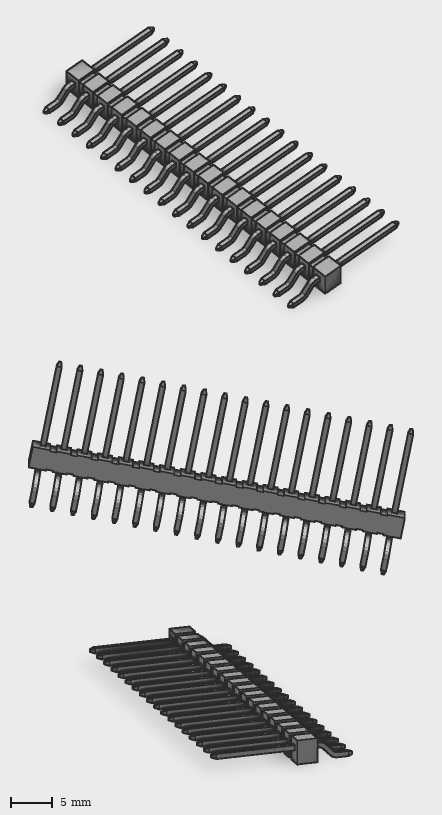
import cadquery as cq
import math

POSITIONS = 18
ROW_LENGTH = 45.7
PITCH = ROW_LENGTH / POSITIONS
HOUSING_DEPTH = 2.6
HOUSING_HEIGHT = 3.05
WEB_WIDTH = 0.8
WEB_SIDE_STEP = 0.15
WEB_TOP_STEP = 0.3

PIN_SIZE = 0.65
PIN_HEIGHT = 1.85
FOOT_HEIGHT = PIN_SIZE / 2
PIN_LENGTH = 18.0
FOOT_REACH = 4.85
SHOULDER = 0.6
BEND_RADIUS = 0.9
BEND_ANGLE = math.radians(45)
TIP_LENGTH = 0.55
TIP_SIZE = 0.27

FRONT_FACE = -HOUSING_DEPTH / 2
FOOT_TIP = FRONT_FACE - FOOT_REACH
BACK_TIP = FOOT_TIP + PIN_LENGTH
PIN_X = [(i - (POSITIONS - 1) / 2) * PITCH for i in range(POSITIONS)]


def make_housing():
    """Plain bar with a notch cut round the back, top and front between every two positions."""
    bar = cq.Workplane("XY").box(
        ROW_LENGTH, HOUSING_DEPTH, HOUSING_HEIGHT, centered=(True, True, False)
    )
    web_depth = HOUSING_DEPTH - 2 * WEB_SIDE_STEP
    web_height = HOUSING_HEIGHT - WEB_TOP_STEP
    gap = cq.Workplane("XY").box(WEB_WIDTH, HOUSING_DEPTH, HOUSING_HEIGHT, centered=(True, True, False))
    web = cq.Workplane("XY").box(WEB_WIDTH, web_depth, web_height, centered=(True, True, False))
    notch = gap.cut(web)
    for x in PIN_X[:-1]:
        bar = bar.cut(notch.translate((x + PITCH / 2, 0, 0)))
    return bar


def pin_path():
    """Centreline of the full-section wire in the YZ plane, from back to foot."""
    bend_run = BEND_RADIUS * math.sin(BEND_ANGLE)
    bend_drop = BEND_RADIUS * (1 - math.cos(BEND_ANGLE))
    half_run = BEND_RADIUS * math.sin(BEND_ANGLE / 2)
    half_drop = BEND_RADIUS * (1 - math.cos(BEND_ANGLE / 2))
    slope_drop = PIN_HEIGHT - FOOT_HEIGHT - 2 * bend_drop
    slope_run = slope_drop / math.tan(BEND_ANGLE)

    upper_start = FRONT_FACE - SHOULDER
    upper_end = upper_start - bend_run
    lower_start = upper_end - slope_run
    lower_end = lower_start - bend_run
    return (
        cq.Workplane("YZ")
        .moveTo(BACK_TIP - TIP_LENGTH, PIN_HEIGHT)
        .lineTo(upper_start, PIN_HEIGHT)
        .threePointArc((upper_start - half_run, PIN_HEIGHT - half_drop), (upper_end, PIN_HEIGHT - bend_drop))
        .lineTo(lower_start, FOOT_HEIGHT + bend_drop)
        .threePointArc((lower_end + half_run, FOOT_HEIGHT + half_drop), (lower_end, FOOT_HEIGHT))
        .lineTo(FOOT_TIP + TIP_LENGTH, FOOT_HEIGHT)
    )


def pin_tip(base_y, height, direction):
    """Blunt pyramid on the end of the wire; direction is +1 toward the back, -1 toward the front."""
    base = cq.Plane(origin=(0, base_y, height), xDir=(1, 0, 0), normal=(0, direction, 0))
    return (
        cq.Workplane(base)
        .rect(PIN_SIZE, PIN_SIZE)
        .workplane(offset=TIP_LENGTH)
        .rect(TIP_SIZE, TIP_SIZE)
        .loft(ruled=True)
    )


def make_pin():
    """One bent pin at X = 0."""
    section = cq.Plane(origin=(0, BACK_TIP - TIP_LENGTH, PIN_HEIGHT), xDir=(1, 0, 0), normal=(0, -1, 0))
    wire = cq.Workplane(section).rect(PIN_SIZE, PIN_SIZE).sweep(pin_path())
    back = pin_tip(BACK_TIP - TIP_LENGTH, PIN_HEIGHT, 1)
    foot = pin_tip(FOOT_TIP + TIP_LENGTH, FOOT_HEIGHT, -1)
    return wire.union(back).union(foot)


pin = make_pin()

end_pins = [pin.translate((x, 0, 0)) for x in (PIN_X[0], PIN_X[-1])]

housing = make_housing()
for x in PIN_X[1:-1]:
    housing = housing.union(pin.translate((x, 0, 0)))
for end_pin in end_pins:
    housing = housing.cut(end_pin)

result = cq.Compound.makeCompound(
    [housing.solids().val(), *[end_pin.solids().val() for end_pin in end_pins]]
)